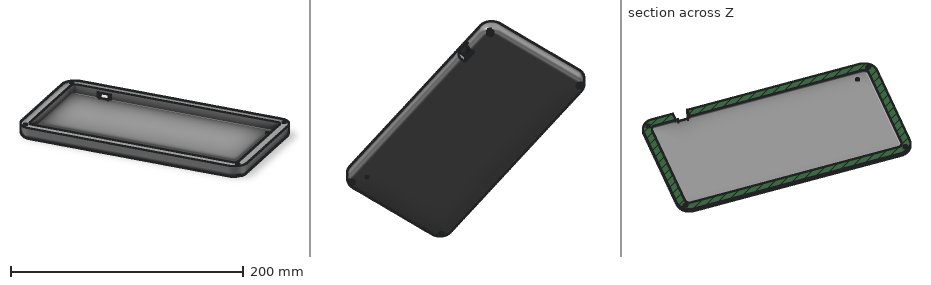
import cadquery as cq

LENGTH = 213.26
WIDTH = 108.49
HEIGHT = 12.0
CORNER_RADIUS = 12.0
BOTTOM_FILLET = 5.0

RIM_WIDTH = 8.0
FLOOR_THICKNESS = 3.0
CAVITY_CORNER_RADIUS = 4.0
FLOOR_FILLET = 1.0

SCREW_DIAMETER = 2.75
SCREW_INSET = 6.35
SCREW_HEAD_DIAMETER = 5.5
SCREW_HEAD_DEPTH = 3.0

FLOOR_HOLE_DIAMETER = 2.25
FLOOR_HOLE_INSET_X = 18.6
FLOOR_HOLE_INSET_Y = 13.6

PORT_WIDTH = 8.8
PORT_HEIGHT = 5.0
PORT_CENTER_X = -69.2

PORT_WEB_THICKNESS = 0.8
RECESS_SIDE_MARGIN = 2.0


def make_body():
    """Rounded block with a filleted underside."""
    block = cq.Workplane("XY").box(LENGTH, WIDTH, HEIGHT, centered=(True, True, False))
    return block.edges("|Z").fillet(CORNER_RADIUS).faces("<Z").edges().fillet(BOTTOM_FILLET)


def make_cavity():
    """Volume removed from the top, with its floor edge rounded."""
    cavity = (
        cq.Workplane("XY")
        .workplane(offset=FLOOR_THICKNESS)
        .rect(LENGTH - 2 * RIM_WIDTH, WIDTH - 2 * RIM_WIDTH)
        .extrude(HEIGHT - FLOOR_THICKNESS)
    )
    return cavity.edges("|Z").fillet(CAVITY_CORNER_RADIUS).faces("<Z").edges().fillet(FLOOR_FILLET)


def make_corner_cylinders(diameter, height):
    """Four upright cylinders at the screw positions, standing on the underside."""
    spacing_x = LENGTH - 2 * SCREW_INSET
    spacing_y = WIDTH - 2 * SCREW_INSET
    return (
        cq.Workplane("XY")
        .rect(spacing_x, spacing_y, forConstruction=True)
        .vertices()
        .circle(diameter / 2)
        .extrude(height)
    )


def make_screw_holes():
    """Through holes in the rim corners, counterbored from below for the screw heads."""
    shanks = make_corner_cylinders(SCREW_DIAMETER, HEIGHT)
    heads = make_corner_cylinders(SCREW_HEAD_DIAMETER, SCREW_HEAD_DEPTH)
    return shanks.union(heads)


def make_floor_hole():
    """Single through hole in the floor."""
    return (
        cq.Workplane("XY")
        .center(LENGTH / 2 - FLOOR_HOLE_INSET_X, WIDTH / 2 - FLOOR_HOLE_INSET_Y)
        .circle(FLOOR_HOLE_DIAMETER / 2)
        .extrude(FLOOR_THICKNESS)
    )


def make_wall_cutter(width, depth, bottom, top):
    """Box centred on the port that reaches inward from the +Y face."""
    return (
        cq.Workplane("XY")
        .workplane(offset=bottom)
        .center(PORT_CENTER_X, (WIDTH - depth) / 2)
        .rect(width, depth)
        .extrude(top - bottom)
    )


def make_port():
    """Opening level with the floor, with a wider plug recess behind a thin web."""
    port_top = FLOOR_THICKNESS + PORT_HEIGHT
    opening = make_wall_cutter(PORT_WIDTH, RIM_WIDTH + FLOOR_FILLET, FLOOR_THICKNESS, port_top)
    recess_width = PORT_WIDTH + 2 * RECESS_SIDE_MARGIN
    recess = make_wall_cutter(recess_width, RIM_WIDTH - PORT_WEB_THICKNESS, 0, port_top)
    return opening.union(recess)


result = (
    make_body()
    .cut(make_cavity())
    .cut(make_screw_holes())
    .cut(make_floor_hole())
    .cut(make_port())
)